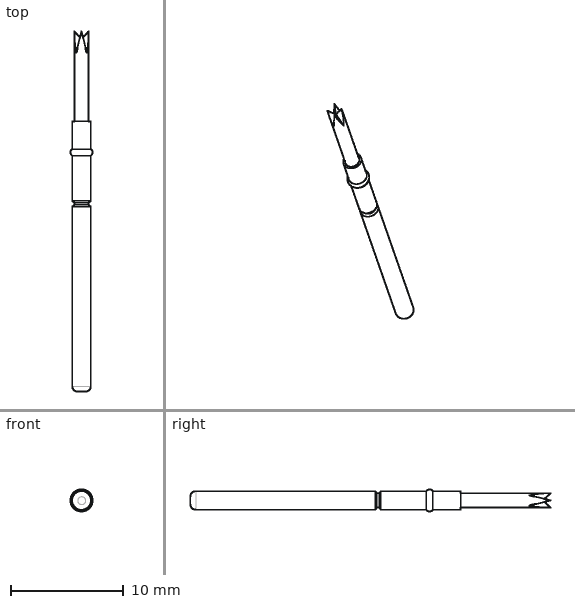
import cadquery as cq
import math

total_length = 32.0
plunger_radius = 0.65
plunger_length = 8.0
barrel_radius = 0.83
barrel_length = total_length - plunger_length
end_fillet = 0.48

ring_radius = 1.0
ring_width = 0.58
ring_center = total_length - 10.75

groove_radius = 0.65
groove_width = 0.5
groove_floor_width = 0.2
groove_center = total_length - 15.33

prong_count = 4
center_depth = 0.7
valley_depth = 1.92
cutter_reach = 2.0 * plunger_radius
cutter_rise = 6.4


def make_body():
    """Revolve the half profile, with radius along X, about the Y axis."""
    corner = end_fillet * (1 - math.sqrt(0.5))
    profile = (
        cq.Workplane("XY")
        .lineTo(barrel_radius - end_fillet, 0)
        .threePointArc((barrel_radius - corner, corner), (barrel_radius, end_fillet))
        .lineTo(barrel_radius, groove_center - groove_width / 2)
        .lineTo(groove_radius, groove_center - groove_floor_width / 2)
        .lineTo(groove_radius, groove_center + groove_floor_width / 2)
        .lineTo(barrel_radius, groove_center + groove_width / 2)
        .lineTo(barrel_radius, ring_center - ring_width / 2)
        .threePointArc((ring_radius, ring_center), (barrel_radius, ring_center + ring_width / 2))
        .lineTo(barrel_radius, barrel_length)
        .lineTo(plunger_radius, barrel_length)
        .lineTo(plunger_radius, total_length)
        .lineTo(0, total_length)
        .close()
    )
    return profile.revolve(360, (0, 0, 0), (0, 1, 0))


def floor_point(angle, edge_depth):
    """Point beyond the plunger, on the line from the crown center through its edge."""
    depth = center_depth + (edge_depth - center_depth) * cutter_reach / plunger_radius
    x = cutter_reach * math.cos(angle)
    z = cutter_reach * math.sin(angle)
    return cq.Vector(x, total_length - depth, z)


def triangle(*corners):
    return cq.Face.makeFromWires(cq.Wire.makePolygon(corners, close=True))


def make_valley_cutter():
    """V-shaped cutter whose sloping floor runs between two neighboring prong ridges."""
    pitch = 2 * math.pi / prong_count
    center = cq.Vector(0, total_length - center_depth, 0)
    top = cq.Vector(0, total_length + cutter_rise, 0)
    first_ridge = floor_point(0, 0)
    valley = floor_point(pitch / 2, valley_depth)
    second_ridge = floor_point(pitch, 0)
    faces = [
        triangle(center, first_ridge, valley),
        triangle(center, valley, second_ridge),
        triangle(top, first_ridge, valley),
        triangle(top, valley, second_ridge),
        triangle(top, center, first_ridge),
        triangle(top, center, second_ridge),
    ]
    return cq.Workplane(cq.Solid.makeSolid(cq.Shell.makeShell(faces)).fix())


result = make_body()
valley_cutter = make_valley_cutter()
for index in range(prong_count):
    turn = index * 360 / prong_count
    result = result.cut(valley_cutter.rotate((0, 0, 0), (0, 1, 0), turn))